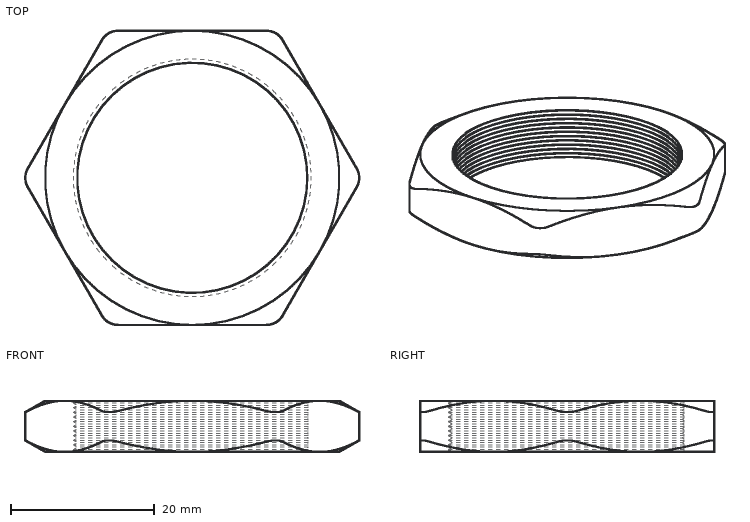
import cadquery as cq
import math

across_flats = 40.9
across_corners = 46.45
height = 7.1
bore_diameter = 31.95
chamfer_angle = 30.0

groove_count = 11
thread_angle = 60.0

bore_radius = bore_diameter / 2
groove_pitch = height / groove_count
groove_depth = groove_pitch / 2 / math.tan(math.radians(thread_angle / 2))
chamfer_radius = across_flats / 2
sharp_corner_diameter = across_flats / math.cos(math.radians(30))
corner_fillet = (sharp_corner_diameter - across_corners) / 2 / (1 / math.cos(math.radians(30)) - 1)


def make_hexagon():
    """Hexagonal prism with corners on the X axis and rounded vertical edges."""
    prism = cq.Workplane("XY").polygon(6, sharp_corner_diameter).extrude(height)
    return prism.edges("|Z").fillet(corner_fillet)


def make_chamfer_envelope():
    """Turned blank whose conical faces cut the corners at both ends."""
    outer_radius = sharp_corner_diameter / 2
    drop = (outer_radius - chamfer_radius) * math.tan(math.radians(chamfer_angle))
    profile = [
        (0, 0),
        (chamfer_radius, 0),
        (outer_radius, drop),
        (outer_radius, height - drop),
        (chamfer_radius, height),
        (0, height),
    ]
    return cq.Workplane("XZ").polyline(profile).close().revolve(360, (0, 0), (0, 1))


def make_threaded_bore():
    """Through bore together with its evenly spaced V grooves."""
    profile = cq.Workplane("XZ").lineTo(bore_radius, 0)
    for index in range(groove_count):
        root_height = (index + 0.5) * groove_pitch
        crest_height = (index + 1) * groove_pitch
        profile = profile.lineTo(bore_radius + groove_depth, root_height)
        profile = profile.lineTo(bore_radius, crest_height)
    profile = profile.lineTo(0, height).close()
    return profile.revolve(360, (0, 0), (0, 1))


result = make_hexagon().intersect(make_chamfer_envelope()).cut(make_threaded_bore())